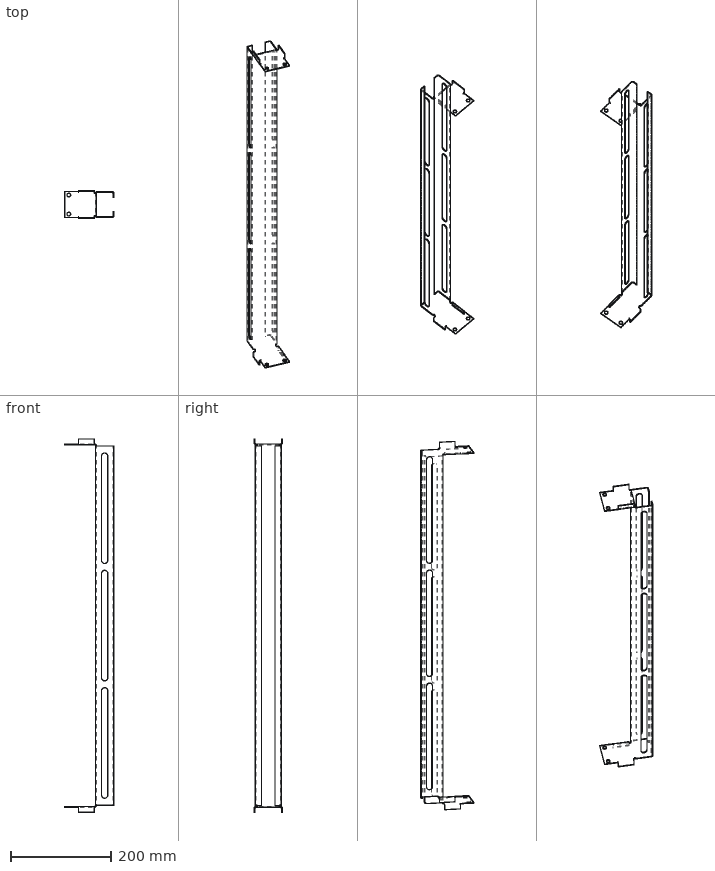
import cadquery as cq

length_x = 98.5
width_over_tabs = 56.5
height_over_tabs = 745.0

sheet = 2.0
inner_radius = 2.0
outer_radius = inner_radius + sheet

channel_width = width_over_tabs - 2 * sheet
channel_depth = 37.0
lip_length = 12.5
web_x = length_x - channel_depth

tab_height = 10.0
plate_outer_z = height_over_tabs / 2 - tab_height
plate_bend_x = web_x + sheet - outer_radius
plate_bend_z = plate_outer_z - outer_radius
plate_hole_diameter = 7.0
plate_hole_x = 8.5
plate_hole_spacing = 38.0

channel_height = 2 * plate_bend_z

slot_count = 3
slot_length = 220.0
slot_width = 12.0
slot_pitch = 234.0
slot_x = web_x + channel_depth / 2

tab_start_x = 27.5
tab_end_x = plate_bend_x
tab_length = tab_end_x - tab_start_x


def box(x_min, x_max, y_min, y_max, z_min, z_max):
    """Axis-aligned block between the given limits."""
    size = (x_max - x_min, y_max - y_min, z_max - z_min)
    return cq.Workplane("XY").box(*size, centered=False).translate((x_min, y_min, z_min))


def make_channel():
    """Lipped channel with rounded bends, open towards +X between its lips."""
    half_width = channel_width / 2
    half_height = channel_height / 2
    outside = box(web_x, length_x, -half_width, half_width, -half_height, half_height)
    outside = outside.edges("|Z").fillet(outer_radius)
    inside = box(
        web_x + sheet, length_x - sheet,
        -half_width + sheet, half_width - sheet,
        -half_height, half_height,
    )
    inside = inside.edges("|Z").fillet(inner_radius)
    half_opening = half_width - lip_length
    opening = box(
        length_x - outer_radius, length_x,
        -half_opening, half_opening,
        -half_height, half_height,
    )
    return outside.cut(inside).cut(opening)


def make_slots():
    """Row of upright round-ended slots passing through both flanges."""
    first_z = -slot_pitch * (slot_count - 1) / 2
    centres = [(slot_x, first_z + slot_pitch * i) for i in range(slot_count)]
    return (
        cq.Workplane("XZ")
        .pushPoints(centres)
        .slot2D(slot_length, slot_width, 90)
        .extrude(channel_width, both=True)
    )


def make_plate():
    """Upper end plate with the bend that joins it to the top of the web."""
    web_inner_x = web_x + sheet
    half_width = channel_width / 2 - outer_radius
    bend = (
        cq.Workplane("XZ")
        .moveTo(plate_bend_x, plate_outer_z)
        .radiusArc((web_inner_x, plate_bend_z), outer_radius)
        .lineTo(web_x, plate_bend_z)
        .radiusArc((plate_bend_x, plate_outer_z - sheet), -inner_radius)
        .close()
        .extrude(half_width, both=True)
    )
    plate = box(
        0, plate_bend_x,
        -channel_width / 2, channel_width / 2,
        plate_outer_z - sheet, plate_outer_z,
    )
    holes = (
        cq.Workplane("XY", origin=(plate_hole_x, 0, plate_outer_z - sheet))
        .rarray(1, plate_hole_spacing, 1, 2)
        .circle(plate_hole_diameter / 2)
        .extrude(sheet)
    )
    return plate.cut(holes).union(bend)


def make_tab():
    """Tab folded upward along the +Y side of the upper end plate."""
    outer_y = width_over_tabs / 2
    bend_y = outer_y - outer_radius
    bottom_z = plate_outer_z - sheet
    bend_z = bottom_z + outer_radius
    top_z = height_over_tabs / 2
    return (
        cq.Workplane("YZ", origin=(tab_start_x, 0, 0))
        .moveTo(bend_y, bottom_z)
        .radiusArc((outer_y, bend_z), -outer_radius)
        .lineTo(outer_y, top_z)
        .lineTo(outer_y - sheet, top_z)
        .lineTo(outer_y - sheet, bend_z)
        .radiusArc((bend_y, plate_outer_z), inner_radius)
        .close()
        .extrude(tab_length)
    )


def make_plate_with_tabs():
    """Upper end plate, its side edges replaced by folded tabs."""
    plate = make_plate()
    half_width = channel_width / 2
    bend_y = width_over_tabs / 2 - outer_radius
    edge_strip = box(
        tab_start_x, tab_end_x,
        bend_y, half_width,
        plate_outer_z - sheet, plate_outer_z,
    )
    tab = make_tab()
    plate = plate.cut(edge_strip).cut(edge_strip.mirror("XZ"))
    return plate.union(tab).union(tab.mirror("XZ"))


end_plate = make_plate_with_tabs()
result = make_channel().cut(make_slots()).union(end_plate).union(end_plate.mirror("XY"))